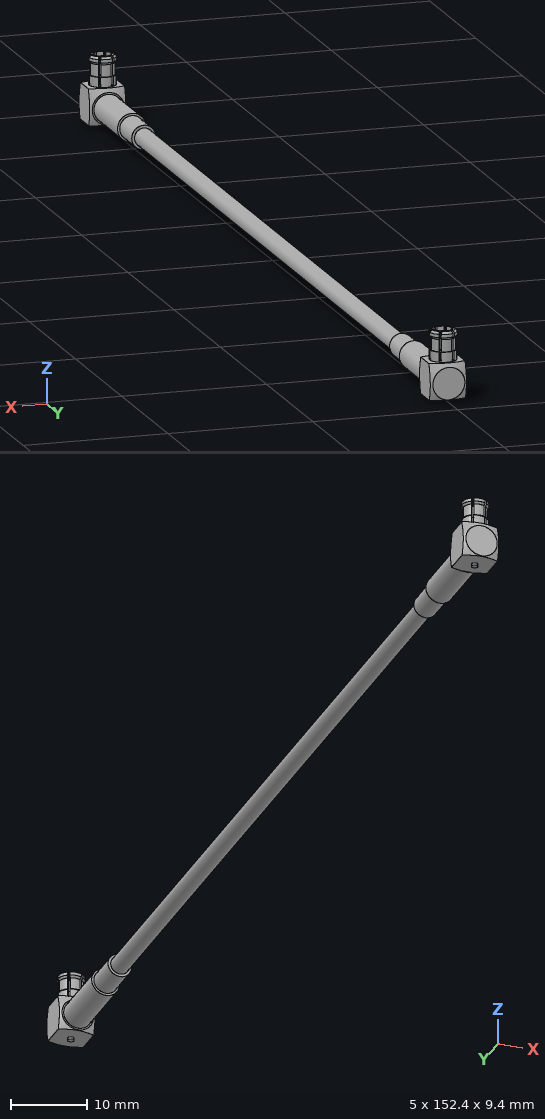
import cadquery as cq

total_length = 152.4
half_length = total_length / 2

body_width = 5.0
body_top = 2.7
body_bottom = -2.3
end_face_diameter = 4.4
corner_slope = 0.5

stub_diameter = 0.87
stub_height = 0.3

ferrule_diameter = 4.0
ferrule_end = 15.2
sleeve_diameter = 3.4
sleeve_end = 20.4
cable_diameter = 2.6

collar_height = 4.1
base_diameter = 3.7
base_height = 1.4
neck_diameter = 3.4
rim_diameter = 3.8
rim_height = 0.8
rim_lead = 0.3
bore_diameter = 2.5
slot_count = 6
slot_width = 0.3
slot_floor = 0.2

insulator_diameter = 2.0
insulator_height = 1.4
pin_diameter = 0.87
pin_height = 3.4
pin_tip_diameter = 0.5
pin_tip_height = 3.8

body_length = body_width
body_center_y = half_length - body_length / 2


def rod(diameter, start_y, end_y):
    """Round bar on the cable axis between two Y positions."""
    return cq.Workplane("XZ", origin=(0, end_y, 0)).circle(diameter / 2).extrude(end_y - start_y)


def post(diameter, start_z, end_z):
    """Upright round bar on the connector axis between two heights."""
    base = cq.Workplane("XY", origin=(0, body_center_y, start_z))
    return base.circle(diameter / 2).extrude(end_z - start_z)


def connector_body():
    """Square block whose corners are turned down to a cone at both Y ends."""
    block = cq.Workplane("XY", origin=(0, body_center_y, body_bottom)).rect(body_width, body_length)
    block = block.extrude(body_top - body_bottom)
    inner_y = half_length - body_length
    face_radius = end_face_diameter / 2
    middle_radius = face_radius + body_length / 2 / corner_slope
    double_cone = (
        cq.Workplane("XY")
        .moveTo(0, inner_y)
        .lineTo(face_radius, inner_y)
        .lineTo(middle_radius, body_center_y)
        .lineTo(face_radius, half_length)
        .lineTo(0, half_length)
        .close()
        .revolve(360, (0, 0, 0), (0, 1, 0))
    )
    return block.intersect(double_cone)


def collar():
    """Stepped tube with a tapered snap rim, slotted into spring fingers."""
    bore_radius = bore_diameter / 2
    base_radius = base_diameter / 2
    neck_radius = neck_diameter / 2
    rim_radius = rim_diameter / 2
    rim_bottom = collar_height - rim_height
    tube = (
        cq.Workplane("XZ")
        .moveTo(bore_radius, 0)
        .lineTo(base_radius, 0)
        .lineTo(base_radius, base_height)
        .lineTo(neck_radius, base_height)
        .lineTo(neck_radius, rim_bottom - rim_lead)
        .lineTo(rim_radius, rim_bottom)
        .lineTo(rim_radius, collar_height - rim_lead)
        .lineTo(rim_radius - rim_lead, collar_height)
        .lineTo(bore_radius, collar_height)
        .close()
        .revolve(360, (0, 0, 0), (0, 1, 0))
    )
    cutter = cq.Workplane("XY", origin=(0, 0, slot_floor)).rect(2 * rim_diameter, slot_width)
    cutter = cutter.extrude(collar_height)
    for index in range(slot_count // 2):
        tube = tube.cut(cutter.rotate((0, 0, 0), (0, 0, 1), index * 360 / slot_count))
    return tube.translate((0, body_center_y, body_top))


def contact():
    """Insulator and stepped centre pin, rooted in the body."""
    insulator = post(insulator_diameter, 0, body_top + insulator_height)
    pin = post(pin_diameter, 0, body_top + pin_height)
    pin_tip = post(pin_tip_diameter, 0, body_top + pin_tip_height)
    return insulator.union(pin).union(pin_tip)


def cable_end():
    """Complete connector at the +Y end with its ferrule and sleeve."""
    stub = post(stub_diameter, body_bottom - stub_height, 0)
    ferrule = rod(ferrule_diameter, half_length - ferrule_end, body_center_y)
    sleeve = rod(sleeve_diameter, half_length - sleeve_end, body_center_y)
    end = connector_body().union(stub).union(ferrule).union(sleeve)
    return end.union(collar()).union(contact())


far_end = cable_end()
near_end = far_end.mirror("XZ")
cable = rod(cable_diameter, -body_center_y, body_center_y)
result = cable.union(far_end).union(near_end)